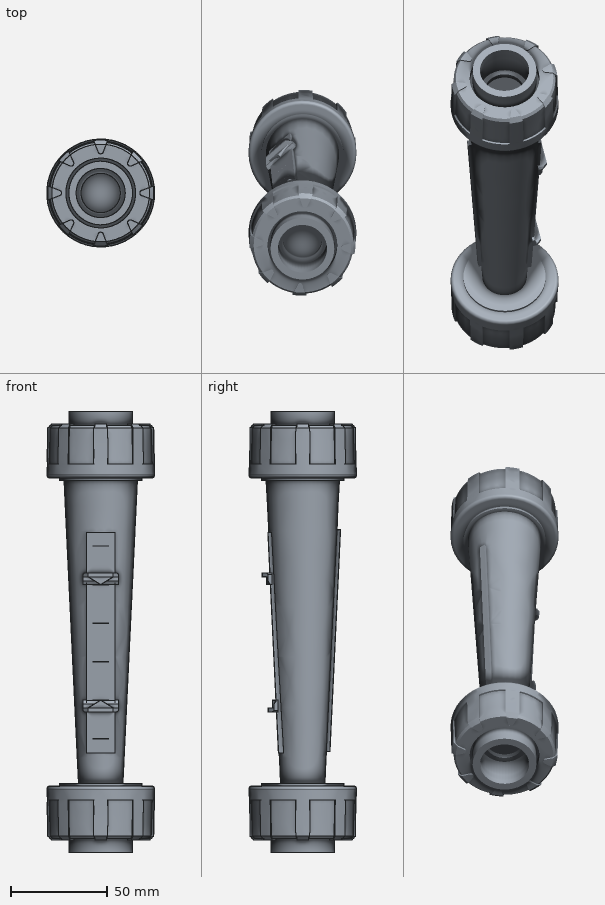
import cadquery as cq


LENGTH = 229.0
END_Z = LENGTH / 2

CONNECTOR_R = 16.5
SOCKET_R = 12.75
SOCKET_DEPTH = 19.0
BORE_R = 10.2

NUT_R = 28.0
NUT_TOP_Z = END_Z - 7.4
NUT_BOTTOM_Z = END_Z - 34.6
NUT_HOLE_R = 18.1
CAP_THICKNESS = 5.0
THREAD_R = 21.3
BAND_TOP_Z = END_Z - 27.4
BAND_FILLET = 1.7
SHOULDER_Z = END_Z - 8.7
FACE_R = 25.3
PANEL_TOP_R = 26.4
PANEL_BOTTOM_R = 27.0

RIB_COUNT = 8
RIB_RISE = 0.9
RIB_TOP_Z = NUT_TOP_Z + RIB_RISE
RIB_TOP_R = 27.5
RIB_TIP_R = 20.3
RIB_NECK_R = 21.3
RIB_NECK_HALF_WIDTH = 1.35
RIB_FOOT_HALF_WIDTH = 3.9

CAP_BOTTOM_Z = NUT_TOP_Z - CAP_THICKNESS
JOINT_Z = END_Z - 22.0
HEAD_Z = END_Z - 36.0

TUBE_TOP_R = 19.05
TUBE_BOTTOM_R = 11.55
TAPER_SLOPE = (TUBE_TOP_R - TUBE_BOTTOM_R) / (2 * HEAD_Z)
TUBE_MEAN_R = (TUBE_TOP_R + TUBE_BOTTOM_R) / 2

STRIP_WIDTH = 14.6
STRIP_RISE = 0.35
STRIP_TOP_Z = END_Z - 62.8
STRIP_BOTTOM_Z = END_Z - 177.2
GUIDE_WIDTH = 3.0
GUIDE_RISE = 1.8
GUIDE_TOP_Z = END_Z - 61.4
GUIDE_BOTTOM_Z = END_Z - 176.6
STRIP_ROOT = 10.0

TICK_COUNT = 6
TICK_PITCH = 20.0
TICK_WIDTH = 8.0
TICK_HEIGHT = 0.2
TICK_DEPTH = 0.1
TOP_TICK_Z = END_Z - 69.9

UPPER_POINTER_TICK = 1
LOWER_POINTER_TICK = 4
POINTER_WIDTH = 18.6
POINTER_HEIGHT = 6.1
POINTER_CORNER = 0.9
LIP_DEPTH = 1.0
PLATE_THICKNESS = 1.0
PLATE_BEVEL = 1.9
SHELF_REACH = 4.1
SHELF_THICKNESS = 2.1
SHELF_FRONT_WIDTH = 13.0
ARROW_THICKNESS = 1.9


def tube_radius(z):
    return TUBE_MEAN_R + TAPER_SLOPE * z


def cylinder(radius, bottom_z, top_z):
    return cq.Workplane("XY").workplane(offset=bottom_z).circle(radius).extrude(top_z - bottom_z)


def rail(width, rise, bottom_z, top_z, side):
    """Flat rail that follows the taper; side is -1 for -Y and 1 for +Y."""
    outline = [
        (side * (tube_radius(bottom_z) + rise), bottom_z),
        (side * (tube_radius(top_z) + rise), top_z),
        (side * (tube_radius(top_z) - STRIP_ROOT), top_z),
        (side * (tube_radius(bottom_z) - STRIP_ROOT), bottom_z),
    ]
    return cq.Workplane("YZ").polyline(outline).close().extrude(width / 2, both=True)


def make_tube():
    cone = (
        cq.Workplane("XZ")
        .polyline([(0, -HEAD_Z), (TUBE_BOTTOM_R, -HEAD_Z), (TUBE_TOP_R, HEAD_Z), (0, HEAD_Z)])
        .close()
        .revolve(360, (0, 0), (0, 1))
    )
    tube = (
        cone.union(cylinder(THREAD_R, HEAD_Z, JOINT_Z))
        .union(cylinder(THREAD_R, -JOINT_Z, -HEAD_Z))
        .union(rail(STRIP_WIDTH, STRIP_RISE, STRIP_BOTTOM_Z, STRIP_TOP_Z, -1))
        .union(rail(GUIDE_WIDTH, GUIDE_RISE, GUIDE_BOTTOM_Z, GUIDE_TOP_Z, 1))
    )
    for index in range(TICK_COUNT):
        z = TOP_TICK_Z - index * TICK_PITCH
        face_y = -(tube_radius(z) + STRIP_RISE)
        tick = cq.Workplane("XY").box(TICK_WIDTH, 2 * TICK_DEPTH, TICK_HEIGHT)
        tube = tube.cut(tick.translate((0, face_y, z)))
    return tube


def make_connector():
    """Upper connector: socket spigot with a flange held under the nut cap."""
    return (
        cylinder(CONNECTOR_R, JOINT_Z, END_Z)
        .union(cylinder(THREAD_R, JOINT_Z, CAP_BOTTOM_Z))
        .cut(cylinder(SOCKET_R, END_Z - SOCKET_DEPTH, END_Z))
        .cut(cylinder(BORE_R, JOINT_Z, END_Z))
    )


def make_rib_prisms():
    """Ring of round-nosed prisms that stand where the nut keeps its grip ribs."""
    prism = (
        cq.Workplane("XY")
        .workplane(offset=BAND_TOP_Z)
        .moveTo(NUT_R, -RIB_FOOT_HALF_WIDTH)
        .lineTo(RIB_NECK_R, -RIB_NECK_HALF_WIDTH)
        .threePointArc((RIB_TIP_R, 0), (RIB_NECK_R, RIB_NECK_HALF_WIDTH))
        .lineTo(NUT_R, RIB_FOOT_HALF_WIDTH)
        .close()
        .extrude(RIB_TOP_Z - BAND_TOP_Z)
    )
    return [prism.rotate((0, 0, 0), (0, 0, 1), index * 360 / RIB_COUNT) for index in range(RIB_COUNT)]


def make_nut():
    """Upper union nut: a tapered blank relieved between the ribs down to recessed panels."""
    blank = (
        cq.Workplane("XZ")
        .moveTo(0, NUT_BOTTOM_Z)
        .lineTo(NUT_R - BAND_FILLET, NUT_BOTTOM_Z)
        .radiusArc((NUT_R, NUT_BOTTOM_Z + BAND_FILLET), -BAND_FILLET)
        .lineTo(RIB_TOP_R, SHOULDER_Z)
        .lineTo(FACE_R, RIB_TOP_Z)
        .lineTo(0, RIB_TOP_Z)
        .close()
        .revolve(360, (0, 0), (0, 1))
    )
    panel_core = (
        cq.Workplane("XZ")
        .moveTo(0, BAND_TOP_Z)
        .lineTo(PANEL_BOTTOM_R, BAND_TOP_Z)
        .lineTo(PANEL_TOP_R, SHOULDER_Z)
        .lineTo(FACE_R, NUT_TOP_Z)
        .lineTo(0, NUT_TOP_Z)
        .close()
        .revolve(360, (0, 0), (0, 1))
    )
    relief = cylinder(NUT_R, BAND_TOP_Z, RIB_TOP_Z).cut(panel_core)
    for prism in make_rib_prisms():
        relief = relief.cut(prism)
    return (
        blank.cut(relief)
        .cut(cylinder(NUT_HOLE_R, NUT_BOTTOM_Z, RIB_TOP_Z))
        .cut(cylinder(THREAD_R, NUT_BOTTOM_Z, CAP_BOTTOM_Z))
    )


def make_pointer():
    """Pointer with its tip at the origin, pointing down; its lips reach behind the XZ plane."""
    half_width = POINTER_WIDTH / 2
    shelf_z = POINTER_HEIGHT - SHELF_THICKNESS
    plate = (
        cq.Workplane("YZ")
        .moveTo(LIP_DEPTH, 0)
        .lineTo(LIP_DEPTH, POINTER_HEIGHT)
        .lineTo(-PLATE_THICKNESS, POINTER_HEIGHT)
        .lineTo(-PLATE_THICKNESS, PLATE_BEVEL)
        .lineTo(0, 0)
        .close()
        .extrude(half_width, both=True)
    )
    shelf = (
        cq.Workplane("XY")
        .workplane(offset=shelf_z)
        .moveTo(-half_width, 0)
        .lineTo(-half_width, -PLATE_THICKNESS)
        .lineTo(-SHELF_FRONT_WIDTH / 2, -SHELF_REACH)
        .lineTo(SHELF_FRONT_WIDTH / 2, -SHELF_REACH)
        .lineTo(half_width, -PLATE_THICKNESS)
        .lineTo(half_width, 0)
        .close()
        .extrude(SHELF_THICKNESS)
    )
    arrow = (
        cq.Workplane("XZ")
        .moveTo(0, 0)
        .lineTo(SHELF_FRONT_WIDTH / 2, shelf_z)
        .lineTo(-SHELF_FRONT_WIDTH / 2, shelf_z)
        .close()
        .extrude(ARROW_THICKNESS)
    )
    frame = (
        cq.Workplane("XZ")
        .workplane(offset=-LIP_DEPTH)
        .center(0, POINTER_HEIGHT / 2)
        .rect(POINTER_WIDTH, POINTER_HEIGHT)
        .extrude(LIP_DEPTH + SHELF_REACH)
        .faces(">Z")
        .edges("|Y")
        .chamfer(POINTER_CORNER)
    )
    return plate.union(shelf).union(arrow).intersect(frame)


def place_pointer(pointer, tip_z, middle_z):
    """Set the tip at tip_z, level with the strip face at middle_z, and fit the back to the tube."""
    face_y = -(tube_radius(middle_z) + STRIP_RISE)
    return pointer.translate((0, face_y, tip_z)).cut(tube)


tube = make_tube()

upper_connector = make_connector()
connectors = [upper_connector, upper_connector.mirror("XY")]

upper_nut = make_nut()
nuts = [upper_nut, upper_nut.mirror("XY")]

upper_pointer = make_pointer()
UPPER_TIP_Z = TOP_TICK_Z - UPPER_POINTER_TICK * TICK_PITCH
LOWER_TIP_Z = TOP_TICK_Z - LOWER_POINTER_TICK * TICK_PITCH
pointers = [
    place_pointer(upper_pointer, UPPER_TIP_Z, UPPER_TIP_Z + POINTER_HEIGHT / 2),
    place_pointer(upper_pointer.mirror("XY"), LOWER_TIP_Z, LOWER_TIP_Z - POINTER_HEIGHT / 2),
]

bodies = [tube, *connectors, *nuts, *pointers]
result = cq.Compound.makeCompound([body.solids().val() for body in bodies])